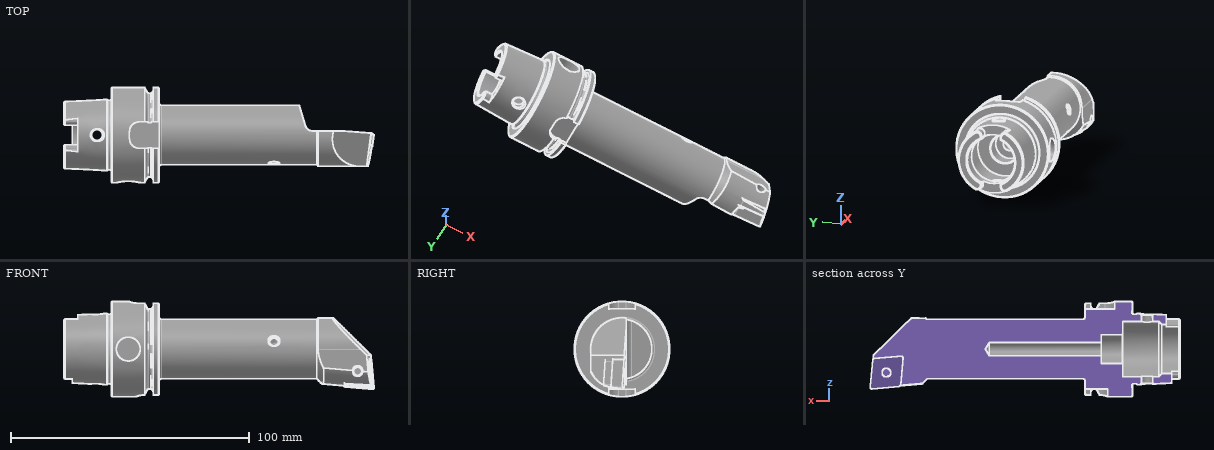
import cadquery as cq
import math


TAPER_LENGTH = 19.86
TAPER_END_RADIUS = 14.1
TAPER_GAUGE_RADIUS = 15.0
MOUTH_EDGE = 0.5
UNDERCUT_START = -1.9
UNDERCUT_FLOOR_START = -1.4
UNDERCUT_RADIUS = 14.6
UNDERCUT_FILLET = 1.0
FACE_RELIEF_RADIUS = 16.2
FACE_RELIEF_DEPTH = 0.3

BORE_RADIUS = 10.2
BORE_DEPTH = 24.0
BORE_LAND_LENGTH = 7.6
BORE_UNDERCUT_RADIUS = 11.5
TUBE_SEAT_RADIUS = 6.0
TUBE_SEAT_EDGE = 0.3
TUBE_SEAT_DEPTH = 9.0
COOLANT_RADIUS = 2.7
COOLANT_END = 60.0
DRILL_TIP_ANGLE = 118.0

KEYWAY_WIDTH = 8.05
KEYWAY_DEPTHS = {1: 5.8, -1: 3.5}
KEYWAY_SHOULDER = 12.6
KEYWAY_ROUND = 2.0

ACCESS_HOLE_X = -6.0
ACCESS_HOLE_RADIUS = 2.3
ACCESS_HOLE_EDGE = 0.6

FLANGE_RADIUS = 20.0
FLANGE_LENGTH = 20.0
FLANGE_EDGE = 0.4
GROOVE_START = 13.9
GROOVE_FLOOR_START = 15.3
GROOVE_FLOOR_END = 16.8
GROOVE_END = 17.5
GROOVE_FLOOR_RADIUS = 17.6
GROOVE_FILLET = 0.4
GROOVE_SHOULDER_RADIUS = 18.6

GRIP_SLOT_WIDTH = 11.0
GRIP_SLOT_FLOOR = 16.8
GRIP_SLOT_CORNER = 4.0
GRIP_SLOT_STARTS = {1: 7.6, -1: 10.5}

CHIP_HOLE_X = 7.1
CHIP_HOLE_RADIUS = 5.0
CHIP_HOLE_DEPTH = 4.6

BAR_RADIUS = 12.5
BAR_END = 86.0
NECK_FILLET = 1.0
SIDE_HOLE_X = 68.1
SIDE_HOLE_RADIUS = 2.0
SIDE_HOLE_EDGE = 0.5
SIDE_HOLE_ANGLE = 16.0
SIDE_HOLE_DEPTH = 3.0

TOOL_LENGTH = 110.0
HEAD_RADIUS = 13.1
HEAD_LOWER_RADIUS = 12.5
LOWER_AXIS_X = 88.5
LOWER_AXIS_Y = -2.0
LOWER_AXIS_Z = -2.1
LEAD_ANGLE = 5.0
RELIEF_ANGLE = 7.5
BEVEL_START = 92.9
HEAD_END_X = 108.8
HEAD_END_CORNER_Z = -2.5

RAKE_Y = 1.8
RAKE_TOP_X = 78.7
RAKE_WALL_ANGLE = 16.8
RAKE_FILLET = 3.0
RAKE_SLOPE_START = 96.2
RAKE_SLOPE_ANGLE = 4.2

INSERT_EDGE = 12.9
INSERT_CORNER_ANGLE = 80.0
INSERT_THICKNESS = 4.76
INSERT_NOSE_RADIUS = 0.8
INSERT_NOSE_Z = -16.9
INSERT_TILT_X = 4.0
INSERT_TILT_Z = 3.5
INSERT_RELIEF_ANGLE = 3.5
SHIM_THICKNESS = 3.18
SHIM_STEP = 0.4
PIN_RADIUS = 1.7
PIN_TILT = 3.5
PIN_TOP_Y = 0.9
PIN_RECESS = 3.0
PIN_MOUTH_RADIUS = 2.1

half_corner = math.radians(INSERT_CORNER_ANGLE / 2)
corner_bisector = math.radians(LEAD_ANGLE) + half_corner
NOSE_SETBACK = INSERT_NOSE_RADIUS * (math.cos(corner_bisector) / math.sin(half_corner) - 1)

MARGIN = 60.0


def revolved(points):
    """Solid of revolution about X from (x, radius) points."""
    return cq.Workplane("XZ").polyline(points).close().revolve(360, (0, 0, 0), (1, 0, 0))


def rod(radius, start, direction, length):
    """Cylinder of `length` from `start` along `direction`."""
    return cq.Workplane(cq.Solid.makeCylinder(radius, length, cq.Vector(*start), cq.Vector(*direction)))


def shank_and_flange():
    body = (
        cq.Workplane("XZ")
        .moveTo(-TAPER_LENGTH, 0)
        .lineTo(-TAPER_LENGTH, TAPER_END_RADIUS)
        .lineTo(UNDERCUT_START, TAPER_GAUGE_RADIUS)
        .lineTo(UNDERCUT_FLOOR_START, UNDERCUT_RADIUS)
        .lineTo(FACE_RELIEF_DEPTH - UNDERCUT_FILLET, UNDERCUT_RADIUS)
        .radiusArc((FACE_RELIEF_DEPTH, UNDERCUT_RADIUS + UNDERCUT_FILLET), -UNDERCUT_FILLET)
        .lineTo(FACE_RELIEF_DEPTH, FACE_RELIEF_RADIUS - FACE_RELIEF_DEPTH)
        .lineTo(0, FACE_RELIEF_RADIUS)
        .lineTo(0, FLANGE_RADIUS - FLANGE_EDGE)
        .lineTo(FLANGE_EDGE, FLANGE_RADIUS)
        .lineTo(GROOVE_START, FLANGE_RADIUS)
        .lineTo(GROOVE_FLOOR_START, GROOVE_FLOOR_RADIUS)
        .lineTo(GROOVE_FLOOR_END, GROOVE_FLOOR_RADIUS)
        .lineTo(GROOVE_END, GROOVE_SHOULDER_RADIUS)
        .lineTo(GROOVE_END, FLANGE_RADIUS)
        .lineTo(FLANGE_LENGTH - FLANGE_EDGE, FLANGE_RADIUS)
        .lineTo(FLANGE_LENGTH, FLANGE_RADIUS - FLANGE_EDGE)
        .lineTo(FLANGE_LENGTH, BAR_RADIUS + NECK_FILLET)
        .radiusArc((FLANGE_LENGTH + NECK_FILLET, BAR_RADIUS), -NECK_FILLET)
        .lineTo(BAR_END, BAR_RADIUS)
        .lineTo(BAR_END, 0)
        .close()
        .revolve(360, (0, 0, 0), (1, 0, 0))
    )
    groove_floor_edges = cq.selectors.BoxSelector(
        (GROOVE_FLOOR_START - GROOVE_FILLET, -GROOVE_FILLET, -GROOVE_FILLET),
        (GROOVE_FLOOR_END + GROOVE_FILLET, GROOVE_FILLET, GROOVE_FILLET),
    )
    return body.edges(groove_floor_edges).fillet(GROOVE_FILLET)


def bore():
    """Stepped bore with an undercut behind its front land, ending in a drilled coolant hole."""
    mouth = -TAPER_LENGTH
    land_end = mouth + BORE_LAND_LENGTH
    widening = BORE_UNDERCUT_RADIUS - BORE_RADIUS
    floor = mouth + BORE_DEPTH
    seat = floor + TUBE_SEAT_DEPTH
    tip = COOLANT_END + COOLANT_RADIUS / math.tan(math.radians(DRILL_TIP_ANGLE / 2))
    return revolved([
        (mouth, 0),
        (mouth, BORE_RADIUS),
        (land_end, BORE_RADIUS),
        (land_end + widening, BORE_UNDERCUT_RADIUS),
        (floor, BORE_UNDERCUT_RADIUS),
        (floor, TUBE_SEAT_RADIUS + TUBE_SEAT_EDGE),
        (floor + TUBE_SEAT_EDGE, TUBE_SEAT_RADIUS),
        (seat, TUBE_SEAT_RADIUS),
        (seat, COOLANT_RADIUS),
        (COOLANT_END, COOLANT_RADIUS),
        (tip, 0),
    ])


def keyway(side):
    """Drive keyway across the shank end, with rounded shoulders under a flat."""
    half = KEYWAY_WIDTH / 2
    shoulder = side * KEYWAY_SHOULDER
    round_start = side * (KEYWAY_SHOULDER - KEYWAY_ROUND)
    outer = side * FLANGE_RADIUS
    bend = side * KEYWAY_ROUND
    return (
        cq.Workplane("YZ", origin=(-TAPER_LENGTH, 0, 0))
        .moveTo(-half, 0)
        .lineTo(-half, round_start)
        .radiusArc((-half - KEYWAY_ROUND, shoulder), -bend)
        .lineTo(-FLANGE_RADIUS, shoulder)
        .lineTo(-FLANGE_RADIUS, outer)
        .lineTo(FLANGE_RADIUS, outer)
        .lineTo(FLANGE_RADIUS, shoulder)
        .lineTo(half + KEYWAY_ROUND, shoulder)
        .radiusArc((half, round_start), -bend)
        .lineTo(half, 0)
        .close()
        .extrude(KEYWAY_DEPTHS[side])
    )


def access_holes():
    holes = rod(ACCESS_HOLE_RADIUS, (ACCESS_HOLE_X, 0, -FLANGE_RADIUS), (0, 0, 1), 2 * FLANGE_RADIUS)
    slope = (TAPER_GAUGE_RADIUS - TAPER_END_RADIUS) / (UNDERCUT_START + TAPER_LENGTH)
    reach = TAPER_END_RADIUS + slope * (ACCESS_HOLE_X + TAPER_LENGTH)
    for side in (1, -1):
        cone = cq.Solid.makeCone(
            0,
            ACCESS_HOLE_RADIUS + 2 * ACCESS_HOLE_EDGE,
            ACCESS_HOLE_RADIUS + 2 * ACCESS_HOLE_EDGE,
            cq.Vector(ACCESS_HOLE_X, 0, side * (reach - ACCESS_HOLE_RADIUS - ACCESS_HOLE_EDGE)),
            cq.Vector(0, 0, side),
        )
        holes = holes.union(cq.Workplane(cone))
    return holes


def grip_slot(side):
    """Flat slot with rounded inner corners, open at the bar end of the flange."""
    start = GRIP_SLOT_STARTS[side]
    length = FLANGE_LENGTH - start
    height = FLANGE_RADIUS - GRIP_SLOT_FLOOR
    return (
        cq.Workplane("XY")
        .box(length, GRIP_SLOT_WIDTH, height, centered=(False, True, True))
        .edges("|Z and <X")
        .fillet(GRIP_SLOT_CORNER)
        .translate((start, 0, side * (GRIP_SLOT_FLOOR + height / 2)))
    )


def chip_hole():
    return rod(CHIP_HOLE_RADIUS, (CHIP_HOLE_X, -FLANGE_RADIUS, 0), (0, 1, 0), CHIP_HOLE_DEPTH)


def side_hole():
    """Radial drilled hole with a countersunk mouth and a drill point, about the +Z axis until turned."""
    tip = SIDE_HOLE_RADIUS / math.tan(math.radians(DRILL_TIP_ANGLE / 2))
    floor = BAR_RADIUS - SIDE_HOLE_DEPTH
    outline = [
        (0, floor - tip),
        (SIDE_HOLE_RADIUS, floor),
        (SIDE_HOLE_RADIUS, BAR_RADIUS - SIDE_HOLE_EDGE),
        (SIDE_HOLE_RADIUS + 2 * SIDE_HOLE_EDGE, BAR_RADIUS + SIDE_HOLE_EDGE),
        (0, BAR_RADIUS + SIDE_HOLE_EDGE),
    ]
    hole = cq.Workplane("XZ").polyline(outline).close().revolve(360, (0, 0, 0), (0, 1, 0))
    return hole.rotate((0, 0, 0), (1, 0, 0), 90 - SIDE_HOLE_ANGLE).translate((SIDE_HOLE_X, 0, 0))


def block(x_min, x_max, y_min, y_max, z_min, z_max):
    return (
        cq.Workplane("XY")
        .box(x_max - x_min, y_max - y_min, z_max - z_min, centered=False)
        .translate((x_min, y_min, z_min))
    )


def head_end():
    """Prism leaning with the relief, bounded by the top bevel and the tilted end face."""
    lean = math.tan(math.radians(RELIEF_ANGLE))
    low_z = -2 * HEAD_RADIUS
    low_x = HEAD_END_X + (HEAD_END_CORNER_Z - low_z) * math.tan(math.radians(LEAD_ANGLE))
    high = 2 * HEAD_RADIUS
    bevel_slope = (HEAD_END_X - BEVEL_START) / (HEAD_RADIUS - HEAD_END_CORNER_Z)
    high_x = BEVEL_START - bevel_slope * (high - HEAD_RADIUS)

    def section(y):
        shift = lean * (y - RAKE_Y)
        outline = [
            (0, low_z),
            (low_x + shift, low_z),
            (HEAD_END_X + shift, HEAD_END_CORNER_Z),
            (high_x + shift, high),
            (0, high),
        ]
        return cq.Wire.makePolygon([cq.Vector(x, y, z) for x, z in outline], close=True)

    return cq.Workplane(cq.Solid.makeLoft([section(-high), section(high)], True))


def head():
    """Cylinder above Z = 0, a drooping flat-sided cylinder below, both growing out of the bar by a cone."""
    start = BAR_END - BAR_RADIUS
    upper = rod(HEAD_RADIUS, (start, 0, 0), (1, 0, 0), MARGIN)
    upper = upper.intersect(block(start, TOOL_LENGTH, -MARGIN, MARGIN, 0, MARGIN))
    lead = math.radians(LEAD_ANGLE)
    axis = (math.cos(lead), 0, -math.sin(lead))
    back = 2 * HEAD_RADIUS
    axis_start = (LOWER_AXIS_X - back * axis[0], LOWER_AXIS_Y, LOWER_AXIS_Z - back * axis[2])
    lower = rod(HEAD_LOWER_RADIUS, axis_start, axis, 2 * MARGIN)
    lower = lower.intersect(block(start, 2 * TOOL_LENGTH, -HEAD_RADIUS, HEAD_RADIUS, -MARGIN, 0))
    flare = revolved([(start, 0), (start + MARGIN, MARGIN), (start + MARGIN, 0)])
    return upper.union(lower).intersect(flare).intersect(head_end())


def rake_cut():
    """Removes the +Y half of the head and the run-out into the bar."""
    wall = math.tan(math.radians(RAKE_WALL_ANGLE))
    top_y = FLANGE_RADIUS
    top_x = RAKE_TOP_X - (top_y - BAR_RADIUS) * wall
    foot_x = RAKE_TOP_X + (BAR_RADIUS - RAKE_Y) * wall
    end_x = TOOL_LENGTH + MARGIN
    end_y = RAKE_Y - (end_x - RAKE_SLOPE_START) * math.tan(math.radians(RAKE_SLOPE_ANGLE))
    outline = [
        (top_x, top_y),
        (foot_x, RAKE_Y),
        (RAKE_SLOPE_START, RAKE_Y),
        (end_x, end_y),
        (end_x, top_y),
    ]
    cut = cq.Workplane("XY").polyline(outline).close().extrude(MARGIN, both=True)
    foot_edge = cq.selectors.NearestToPointSelector((foot_x, RAKE_Y, 0))
    return cut.edges(foot_edge).fillet(RAKE_FILLET)


def on_insert(shape):
    """Moves a shape built with its nose at the origin and its rake face on Y = 0 into place."""
    return (
        shape.rotate((0, 0, 0), (0, 0, 1), -INSERT_TILT_X)
        .rotate((0, 0, 0), (1, 0, 0), -INSERT_TILT_Z)
        .translate((TOOL_LENGTH + NOSE_SETBACK, 0, INSERT_NOSE_Z))
    )


def rhombus(top, height, inset, taper):
    """Rhombic prism tapering from Y = `top` towards -Y, its sides `inset` from the cutting edges."""
    lead = math.radians(LEAD_ANGLE)
    corner = math.radians(INSERT_CORNER_ANGLE)
    edge = INSERT_EDGE - 2 * inset / math.sin(corner)
    nose_inset = inset / math.sin(corner / 2)
    bisector = lead + corner / 2
    nose = (-nose_inset * math.cos(bisector), nose_inset * math.sin(bisector))
    side_1 = (-edge * math.cos(lead), edge * math.sin(lead))
    side_2 = (-edge * math.cos(lead + corner), edge * math.sin(lead + corner))
    outline = [
        nose,
        (nose[0] + side_1[0], nose[1] + side_1[1]),
        (nose[0] + side_1[0] + side_2[0], nose[1] + side_1[1] + side_2[1]),
        (nose[0] + side_2[0], nose[1] + side_2[1]),
    ]
    return cq.Workplane("XZ", origin=(0, top, 0)).polyline(outline).close().extrude(height, taper=taper)


def insert_centre():
    half_diagonal = INSERT_EDGE * math.cos(math.radians(INSERT_CORNER_ANGLE / 2))
    direction = math.radians(LEAD_ANGLE + INSERT_CORNER_ANGLE / 2)
    return (-half_diagonal * math.cos(direction), half_diagonal * math.sin(direction))


def pin_rod(radius, start, end):
    """Rod on the pin axis, from `start` to `end` measured from its top towards -Y."""
    x, z = insert_centre()
    tilt = math.radians(PIN_TILT)
    axis = (0, -math.cos(tilt), math.sin(tilt))
    centre = (TOOL_LENGTH + NOSE_SETBACK + x, PIN_TOP_Y, INSERT_NOSE_Z + z)
    foot = tuple(c + start * a for c, a in zip(centre, axis))
    return rod(radius, foot, axis, end - start)


def insert_blank():
    blank = rhombus(0, INSERT_THICKNESS, 0, INSERT_RELIEF_ANGLE)
    return on_insert(blank.edges("not #Y").fillet(INSERT_NOSE_RADIUS))


def shim_blank():
    inset = INSERT_THICKNESS * math.tan(math.radians(INSERT_RELIEF_ANGLE)) + SHIM_STEP
    blank = rhombus(-INSERT_THICKNESS, SHIM_THICKNESS, inset, INSERT_RELIEF_ANGLE)
    return on_insert(blank.edges("not #Y").fillet(INSERT_NOSE_RADIUS))


def insert_pocket():
    """Seat of the insert and the shim, open above the rake face."""
    return on_insert(rhombus(MARGIN, MARGIN, 0, 0)).union(insert_blank()).union(shim_blank())


pin_end = HEAD_RADIUS - PIN_RECESS
pin_hole = pin_rod(PIN_RADIUS, -MARGIN, MARGIN)
insert = insert_blank().cut(pin_hole)
shim = shim_blank().cut(pin_hole)
pin = pin_rod(PIN_RADIUS, 0, pin_end)

shank = shank_and_flange().cut(bore())
for side in (1, -1):
    shank = shank.cut(keyway(side)).cut(grip_slot(side))
shank = shank.faces("<X").edges().chamfer(MOUTH_EDGE)

holder = shank.union(head()).cut(rake_cut())
holder = holder.cut(access_holes()).cut(chip_hole()).cut(side_hole())
holder = holder.cut(insert_pocket())
holder = holder.cut(pin_rod(PIN_RADIUS, 0, MARGIN)).cut(pin_rod(PIN_MOUTH_RADIUS, pin_end, MARGIN))

result = cq.Compound.makeCompound([holder.val(), insert.val(), shim.val(), pin.val()])